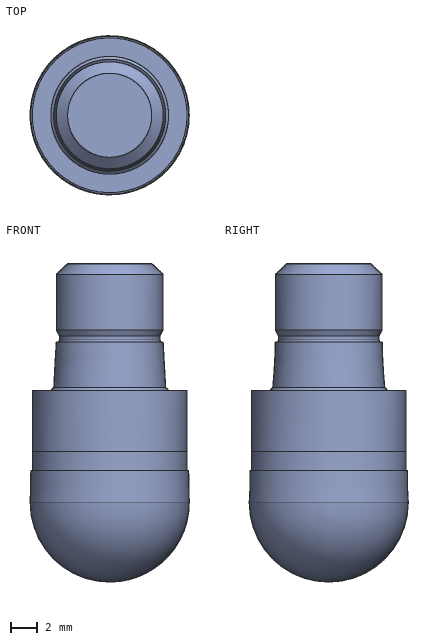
import cadquery as cq

total_height = 24.0
nose_radius = 6.0
nose_center_z = nose_radius

skirt_top_z = 8.4
skirt_top_radius = 5.95

collar_radius = 5.83
joint_z = 9.85
shoulder_z = 14.45

shank_radius = 4.03
tip_chamfer_width = 0.86
tip_chamfer_height = 0.82
groove_top_z = 19.0
groove_radius = 3.8
groove_floor_top_z = 18.55
groove_floor_bottom_z = 18.3
groove_rim_radius = 3.85
groove_bottom_z = 18.07

taper_bottom_radius = 4.22
flare_radius = 4.45
flare_height = 0.22


def make_nose_cap():
    """Revolve the ball end, its skirt and the lower band of the collar."""
    arc_mid = nose_radius * 0.5 ** 0.5
    profile = (
        cq.Workplane("XZ")
        .moveTo(0, 0)
        .threePointArc((arc_mid, nose_center_z - arc_mid), (nose_radius, nose_center_z))
        .lineTo(skirt_top_radius, skirt_top_z)
        .lineTo(collar_radius, skirt_top_z)
        .lineTo(collar_radius, joint_z)
        .lineTo(0, joint_z)
        .close()
    )
    return profile.revolve(360, (0, 0, 0), (0, 1, 0))


def make_pin():
    """Revolve the upper collar and the grooved, chamfered shank."""
    profile = (
        cq.Workplane("XZ")
        .moveTo(0, joint_z)
        .lineTo(collar_radius, joint_z)
        .lineTo(collar_radius, shoulder_z)
        .lineTo(flare_radius, shoulder_z)
        .lineTo(taper_bottom_radius, shoulder_z + flare_height)
        .lineTo(shank_radius, groove_bottom_z)
        .lineTo(groove_rim_radius, groove_bottom_z)
        .lineTo(groove_radius, groove_floor_bottom_z)
        .lineTo(groove_radius, groove_floor_top_z)
        .lineTo(shank_radius, groove_top_z)
        .lineTo(shank_radius, total_height - tip_chamfer_height)
        .lineTo(shank_radius - tip_chamfer_width, total_height)
        .lineTo(0, total_height)
        .close()
    )
    return profile.revolve(360, (0, 0, 0), (0, 1, 0))


nose_cap = make_nose_cap()
pin = make_pin()

result = cq.Compound.makeCompound([nose_cap.val(), pin.val()])